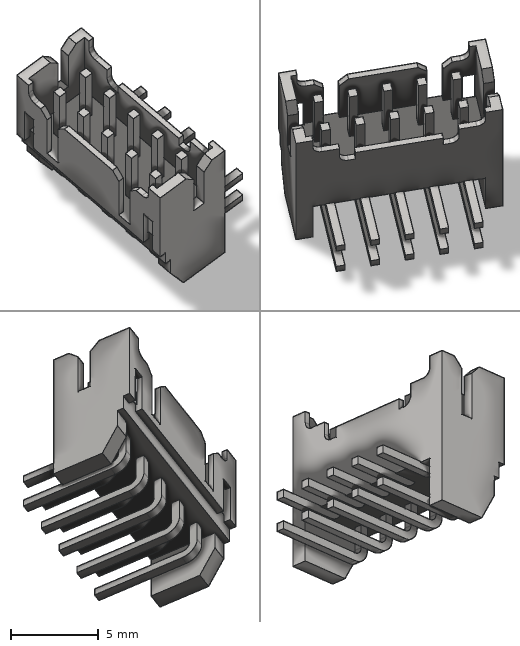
import cadquery as cq


width = 12.0
body_depth = 5.0
height = 9.5
end_wall = 0.64
long_wall = 0.35
rear_inner_y = body_depth - long_wall
floor_drop = 4.88
floor_z = height - floor_drop

base_z = 3.0
lip_z = 4.01
lip_setback = 0.42
leg_width = 1.0
leg_setback = 0.8
leg_chamfer_z = 1.75
leg_foot_y = 1.8

post_width = 1.0
shoulder_z = height - 1.22
corner_radius = 0.52
notch_inner_x = 2.55
notch_outer_x = 3.47
rear_tab_z = shoulder_z - 0.64
rear_notch_z = height - 2.5
tab_chamfer = 0.53

window_inner_x = 4.6
window_outer_x = width / 2 - end_wall
window_top_z = height - 2.82

key_front_y = 2.6
key_back_y = 3.41
key_depth = 3.49
key_chamfer = 0.6

pin_columns = 5
pin_pitch = 2.0
pin_size = 0.5
pin_top_z = height - 0.98
front_pin_y = 1.5
tail_length = 3.0
bend_radius = 1.0
lower_tail_z = 0.55
tail_end_y = body_depth + tail_length


def block(x_min, x_max, y_min, y_max, z_min, z_max):
    """Axis-aligned box between the given limits."""
    size = (x_max - x_min, y_max - y_min, z_max - z_min)
    return cq.Workplane("XY").box(*size, centered=False).translate((x_min, y_min, z_min))


def mirrored_pair(solid):
    """A solid joined with its mirror image across the middle of the header."""
    return solid.union(solid.mirror("YZ"))


def housing_blank():
    """Side outline swept across the full width, with the space between the legs removed."""
    outline = [
        (body_depth, 0),
        (body_depth, height),
        (key_back_y + key_chamfer, height),
        (key_back_y, height - key_chamfer),
        (key_back_y, height - key_depth),
        (key_front_y, height - key_depth),
        (key_front_y, height - key_chamfer),
        (key_front_y - key_chamfer, height),
        (0, height),
        (0, lip_z),
        (lip_setback, lip_z),
        (lip_setback, base_z),
        (leg_setback, base_z),
        (leg_setback, leg_chamfer_z),
        (leg_foot_y, 0),
    ]
    blank = cq.Workplane("YZ").polyline(outline).close().extrude(width / 2, both=True)
    leg_inner_x = width / 2 - leg_width
    return blank.cut(block(-leg_inner_x, leg_inner_x, 0, body_depth, 0, base_z))


def cavity():
    """Pocket that receives the mating plug."""
    half_length = width / 2 - end_wall
    return block(-half_length, half_length, long_wall, rear_inner_y, floor_z, height)


def wall_top_opening(y_min, y_max):
    """Lowers a long wall between the corner posts, with rounded inside corners."""
    half_length = width / 2 - post_width
    opening = block(-half_length, half_length, y_min, y_max, shoulder_z, height)
    return opening.edges("|Y and <Z").fillet(corner_radius)


def front_notches():
    """Notches that free the front latching tab, chamfered along the tab and the shoulders."""
    chamfer_z = shoulder_z - tab_chamfer
    outline = [
        (notch_inner_x, floor_z),
        (notch_outer_x, floor_z),
        (notch_outer_x, chamfer_z),
        (notch_outer_x + tab_chamfer, shoulder_z),
        (notch_inner_x - tab_chamfer, shoulder_z),
        (notch_inner_x, chamfer_z),
    ]
    return mirrored_pair(cq.Workplane("XZ").polyline(outline).close().extrude(-long_wall))


def rear_notches():
    """Shallow notches in the rear wall, rounded at the outer bottom corner."""
    notch = block(notch_inner_x, notch_outer_x, rear_inner_y, body_depth, rear_notch_z, shoulder_z)
    notch = notch.edges("|Y and <Z and >X").fillet(corner_radius)
    return mirrored_pair(notch)


def rear_tab_relief():
    """Lowers the rear wall between its two notches."""
    return block(-notch_inner_x, notch_inner_x, rear_inner_y, body_depth, rear_tab_z, shoulder_z)


def front_windows():
    """Windows that open into the cavity and run down to the lip below the front wall."""
    return mirrored_pair(block(window_inner_x, window_outer_x, 0, lip_setback, lip_z, window_top_z))


def bent_pin(x, y, tail_z):
    """Square pin that drops through the floor and bends rearward; tail_z is the tail's underside."""
    front_y = y - pin_size / 2
    back_y = y + pin_size / 2
    pin = (
        cq.Workplane("YZ")
        .moveTo(front_y, pin_top_z)
        .lineTo(front_y, tail_z + bend_radius)
        .radiusArc((front_y + bend_radius, tail_z), -bend_radius)
        .lineTo(tail_end_y, tail_z)
        .lineTo(tail_end_y, tail_z + pin_size)
        .lineTo(front_y + bend_radius, tail_z + pin_size)
        .radiusArc((back_y, tail_z + bend_radius), bend_radius - pin_size)
        .lineTo(back_y, pin_top_z)
        .close()
        .extrude(pin_size / 2, both=True)
    )
    return pin.translate((x, 0, 0))


result = housing_blank().cut(cavity())
result = result.cut(wall_top_opening(0, long_wall))
result = result.cut(wall_top_opening(rear_inner_y, body_depth))
result = result.cut(front_notches())
result = result.cut(rear_notches())
result = result.cut(rear_tab_relief())
result = result.cut(front_windows())

for column in range(pin_columns):
    pin_x = (column - (pin_columns - 1) / 2) * pin_pitch
    result = result.union(bent_pin(pin_x, front_pin_y, lower_tail_z))
    result = result.union(bent_pin(pin_x, front_pin_y + pin_pitch, lower_tail_z + pin_pitch))